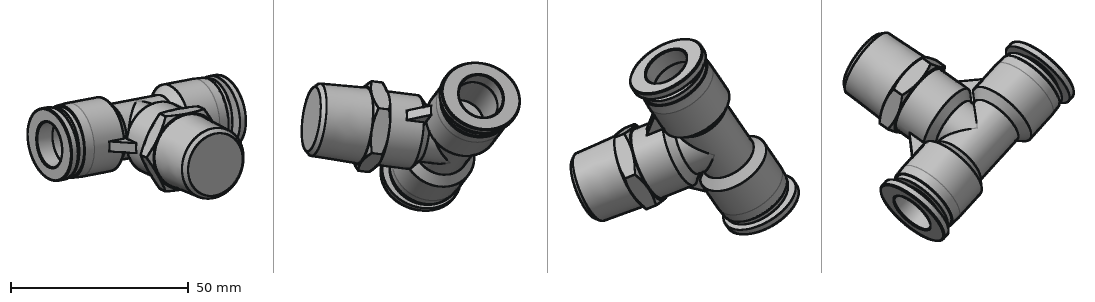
import cadquery as cq
import math


run_half_length = 29.3
tee_pipe_radius = 8.0
socket_radius = 10.6
socket_end_radius = 10.4
socket_cone_end = 11.1
socket_cone_start = socket_cone_end - (socket_radius - tee_pipe_radius)
socket_taper_start = 21.0
housing_end = 24.0
bore_radius = 6.5
bore_floor = socket_cone_end

collar_radius = 9.99
collar_end = 25.6
neck_radius = 7.41
flange_start = 27.15
flange_width = 23.1
flange_height = 20.6
flange_chamfer = 0.25
bore_chamfer = 0.25

branch_radius = 10.5
branch_cone_end = 10.95
branch_cone_start = branch_cone_end - (branch_radius - tee_pipe_radius)
hex_start = 21.0

rib_thickness = 2.95
rib_reach = 26.5

hex_flats = 22.2
hex_end = 26.1
hex_chamfer_angle = 30.0
stud_end = 52.5 - flange_width / 2
thread_start_radius = 10.8
thread_end_radius = 10.3
thread_chamfer_length = 1.35
thread_tip_radius = 9.15


def revolve_y(points):
    """Revolve (radius, y) points around the Y axis."""
    return cq.Workplane("XY").polyline(points).close().revolve(360, (0, 0, 0), (0, 1, 0))


def revolve_x(points):
    """Revolve (x, radius) points around the X axis."""
    return cq.Workplane("XY").polyline(points).close().revolve(360, (0, 0, 0), (1, 0, 0))


def make_socket():
    """Half of the run on the +Y side, with its stepped outside."""
    return revolve_y([
        (0, 0),
        (tee_pipe_radius, 0),
        (tee_pipe_radius, socket_cone_start),
        (socket_radius, socket_cone_end),
        (socket_radius, socket_taper_start),
        (socket_end_radius, housing_end),
        (0, housing_end),
    ])


def make_branch():
    """Branch pipe, which widens in a cone up to the hexagon."""
    return revolve_x([
        (0, 0),
        (0, tee_pipe_radius),
        (branch_cone_start, tee_pipe_radius),
        (branch_cone_end, branch_radius),
        (hex_start, branch_radius),
        (hex_start, 0),
    ])


def make_ribs():
    """Triangular web that forms one 45 degree rib on each side of the branch."""
    return (
        cq.Workplane("XY")
        .polyline([(0, -rib_reach), (rib_reach, 0), (0, rib_reach)])
        .close()
        .extrude(rib_thickness / 2, both=True)
        .intersect(cq.Workplane("XY").box(2 * hex_start, 2 * socket_taper_start, rib_thickness))
    )


def make_bore():
    """Blind tube socket on the +Y side."""
    return revolve_y([
        (0, bore_floor),
        (bore_radius, bore_floor),
        (bore_radius, housing_end),
        (0, housing_end),
    ])


def make_housing():
    socket = make_socket()
    bore = make_bore()
    body = socket.union(socket.mirror("XZ")).union(make_branch()).union(make_ribs())
    return body.cut(bore).cut(bore.mirror("XZ"))


def make_sleeve():
    """Release sleeve on the +Y side: collar, neck and elliptical flange around the bore."""
    stem = revolve_y([
        (0, housing_end),
        (collar_radius, housing_end),
        (collar_radius, collar_end),
        (neck_radius, collar_end),
        (neck_radius, flange_start),
        (0, flange_start),
    ])
    flange = (
        cq.Workplane("XZ", origin=(0, flange_start, 0))
        .ellipse(flange_width / 2, flange_height / 2)
        .extrude(flange_start - run_half_length)
        .faces(">Y")
        .chamfer(flange_chamfer)
    )
    opening = revolve_y([
        (0, housing_end),
        (bore_radius, housing_end),
        (bore_radius, run_half_length - bore_chamfer),
        (bore_radius + bore_chamfer, run_half_length),
        (0, run_half_length),
    ])
    return stem.union(flange).cut(opening)


def make_hexagon():
    """Hexagon with corners on +Y and -Y, both ends chamfered down to the flats."""
    corner_radius = hex_flats / 2 / math.cos(math.radians(30))
    chamfer_length = (corner_radius - hex_flats / 2) * math.tan(math.radians(hex_chamfer_angle))
    prism = (
        cq.Workplane("YZ", origin=(hex_start, 0, 0))
        .polygon(6, 2 * corner_radius)
        .extrude(hex_end - hex_start)
    )
    envelope = revolve_x([
        (hex_start, 0),
        (hex_start, hex_flats / 2),
        (hex_start + chamfer_length, corner_radius),
        (hex_end - chamfer_length, corner_radius),
        (hex_end, hex_flats / 2),
        (hex_end, 0),
    ])
    return prism.intersect(envelope)


def make_stud():
    """Hexagon with a tapered thread blank and a chamfered tip."""
    thread = revolve_x([
        (hex_end, 0),
        (hex_end, thread_start_radius),
        (stud_end - thread_chamfer_length, thread_end_radius),
        (stud_end, thread_tip_radius),
        (stud_end, 0),
    ])
    return make_hexagon().union(thread)


housing = make_housing()
stud = make_stud()
sleeves = []
for turn in (0, 180):
    sleeves.append(make_sleeve().rotate((0, 0, 0), (1, 0, 0), turn))

result = cq.Compound.makeCompound([
    housing.val(),
    stud.val(),
    *[sleeve.val() for sleeve in sleeves],
])